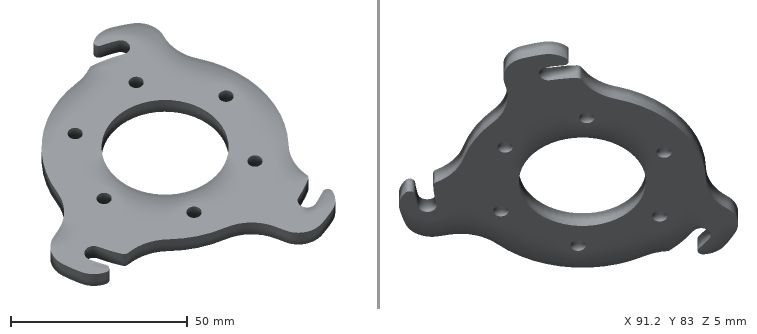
import cadquery as cq
import math

THICKNESS = 5.0
DISC_RADIUS = 35.0
BORE_DIAMETER = 36.0

BOLT_COUNT = 6
BOLT_HOLE_DIAMETER = 4.3
BOLT_CIRCLE_RADIUS = 26.0

HOOK_END_RADIUS = 8.0
HOOK_BACK_LENGTH = 5.0
NECK_BLEND_RADIUS = 15.0
HEEL_BLEND_RADIUS = 16.0
SLOT_WIDTH = 5.4
SLOT_SWEEP = 25.0
MOUTH_RADIUS = 1.5

HOOKS = [
    (180.0, 40.0),
    (45.0, 45.0),
    (-45.0, 45.0),
]


def polar(radius, degrees):
    angle = math.radians(degrees)
    return (radius * math.cos(angle), radius * math.sin(angle))


def point_towards(start, target, distance):
    """Point at a given distance from start on the ray through target."""
    dx = target[0] - start[0]
    dy = target[1] - start[1]
    length = math.hypot(dx, dy)
    return (start[0] + dx * distance / length, start[1] + dy * distance / length)


def arc_middle(centre, radius, start, end):
    """Middle of the shorter arc from start to end."""
    chord_middle = ((start[0] + end[0]) / 2, (start[1] + end[1]) / 2)
    return point_towards(centre, chord_middle, radius)


def round_end_blend_centre(end_centre, blend_radius, side):
    """Centre of the blend circle that touches the disc and the round hook end."""
    to_disc = DISC_RADIUS + blend_radius
    to_end = HOOK_END_RADIUS + blend_radius
    end_radius = math.hypot(*end_centre)
    end_angle = math.degrees(math.atan2(end_centre[1], end_centre[0]))
    cosine = (to_disc**2 + end_radius**2 - to_end**2) / (2 * to_disc * end_radius)
    return polar(to_disc, end_angle + side * math.degrees(math.acos(cosine)))


def flank_blend_centre(end_centre, blend_radius, side):
    """Centre of the blend circle that touches the disc and the flank.

    The flank is the line parallel to X that leaves the round hook end tangentially.
    """
    centre_y = end_centre[1] + side * (HOOK_END_RADIUS + blend_radius)
    centre_x = math.sqrt((DISC_RADIUS + blend_radius) ** 2 - centre_y**2)
    return (centre_x, centre_y)


def hook_body(slot_radius):
    """Hook on the X axis without its slot, blended into the disc on both sides."""
    back_angle = -math.degrees(HOOK_BACK_LENGTH / slot_radius)
    rim_radius = slot_radius + HOOK_END_RADIUS
    rim_start = (rim_radius, 0)
    rim_middle = polar(rim_radius, back_angle / 2)
    rim_end = polar(rim_radius, back_angle)

    heel_centre = (slot_radius, 0)
    heel_blend = round_end_blend_centre(heel_centre, HEEL_BLEND_RADIUS, 1)
    heel_on_disc = point_towards((0, 0), heel_blend, DISC_RADIUS)
    heel_on_end = point_towards(heel_centre, heel_blend, HOOK_END_RADIUS)
    heel_blend_middle = arc_middle(heel_blend, HEEL_BLEND_RADIUS, heel_on_disc, heel_on_end)
    heel_end_middle = arc_middle(heel_centre, HOOK_END_RADIUS, heel_on_end, rim_start)

    neck_centre = polar(slot_radius, back_angle)
    neck_blend = flank_blend_centre(neck_centre, NECK_BLEND_RADIUS, -1)
    has_flank = neck_blend[0] < neck_centre[0]
    if has_flank:
        flank_y = neck_centre[1] - HOOK_END_RADIUS
        neck_on_end = (neck_centre[0], flank_y)
        neck_blend_start = (neck_blend[0], flank_y)
    else:
        neck_blend = round_end_blend_centre(neck_centre, NECK_BLEND_RADIUS, -1)
        neck_on_end = point_towards(neck_centre, neck_blend, HOOK_END_RADIUS)
        neck_blend_start = neck_on_end
    neck_on_disc = point_towards((0, 0), neck_blend, DISC_RADIUS)
    neck_end_middle = arc_middle(neck_centre, HOOK_END_RADIUS, rim_end, neck_on_end)
    neck_blend_middle = arc_middle(neck_blend, NECK_BLEND_RADIUS, neck_blend_start, neck_on_disc)

    outline = (
        cq.Workplane("XY")
        .moveTo(*heel_on_disc)
        .threePointArc(heel_blend_middle, heel_on_end)
        .threePointArc(heel_end_middle, rim_start)
        .threePointArc(rim_middle, rim_end)
        .threePointArc(neck_end_middle, neck_on_end)
    )
    if has_flank:
        outline = outline.lineTo(*neck_blend_start)
    return (
        outline.threePointArc(neck_blend_middle, neck_on_disc)
        .lineTo(0, 0)
        .close()
        .extrude(THICKNESS)
    )


def hook_slot(slot_radius):
    """Curved slot with a round closed end on the X axis, open on the heel side."""
    inner_radius = slot_radius - SLOT_WIDTH / 2
    outer_radius = slot_radius + SLOT_WIDTH / 2
    return (
        cq.Workplane("XY")
        .moveTo(inner_radius, 0)
        .threePointArc((slot_radius, -SLOT_WIDTH / 2), (outer_radius, 0))
        .threePointArc(polar(outer_radius, SLOT_SWEEP / 2), polar(outer_radius, SLOT_SWEEP))
        .lineTo(*polar(inner_radius, SLOT_SWEEP))
        .threePointArc(polar(inner_radius, SLOT_SWEEP / 2), (inner_radius, 0))
        .close()
        .extrude(THICKNESS)
    )


def round_slot_mouth(hook, slot_radius):
    """Round the sharp edges where the outer and inner slot walls leave the hook."""
    mouth_angle = math.degrees(HOOK_END_RADIUS / slot_radius)
    for wall_offset in (SLOT_WIDTH / 2, -SLOT_WIDTH / 2):
        mouth = polar(slot_radius + wall_offset, mouth_angle)
        mouth_edge = cq.selectors.NearestToPointSelector((*mouth, THICKNESS / 2))
        hook = hook.edges("|Z").edges(mouth_edge).fillet(MOUTH_RADIUS)
    return hook


def make_hook(slot_radius):
    hook = hook_body(slot_radius).cut(hook_slot(slot_radius))
    return round_slot_mouth(hook, slot_radius)


plate = cq.Workplane("XY").circle(DISC_RADIUS).extrude(THICKNESS)

for hook_angle, hook_slot_radius in HOOKS:
    hook = make_hook(hook_slot_radius).rotate((0, 0, 0), (0, 0, 1), hook_angle)
    plate = plate.union(hook)

bore = cq.Workplane("XY").circle(BORE_DIAMETER / 2).extrude(THICKNESS)
bolt_holes = (
    cq.Workplane("XY")
    .polarArray(BOLT_CIRCLE_RADIUS, 0, 360, BOLT_COUNT)
    .circle(BOLT_HOLE_DIAMETER / 2)
    .extrude(THICKNESS)
)

result = plate.cut(bore).cut(bolt_holes)